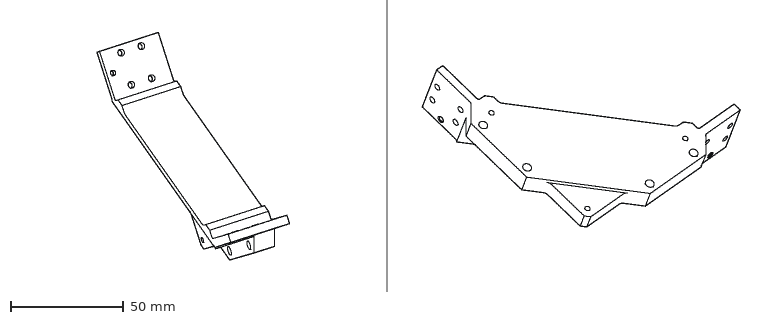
import cadquery as cq
import math

OVERALL_WIDTH = 138.59
OVERALL_HEIGHT = 70.71
DEPTH = 29.0
TOP_Z = 19.6
BOTTOM_Z = TOP_Z - OVERALL_HEIGHT

SHELF_HALF_WIDTH = 53.6
SHELF_THICKNESS = 3.3
RIDGE_HEIGHT = 2.8
RIDGE_INNER_X = 43.3
RIDGE_OUTER_X = 47.4
RIDGE_FILLET = 3.0

ARM_THICKNESS = 4.0
ARM_FILLET = 1.0
SLOPE_RUN = math.sqrt(0.5)

ARM_HOLE_DIAMETER = 3.0
ARM_HOLE_SPACING = 15.0
ARM_HOLE_ROWS_Y = (9.5, 19.5)
ARM_PATTERN_FROM_TIP = 11.0
ARM_PILOT_Y = 3.0
ARM_PILOT_COUNTERSINK_DIAMETER = 3.2

PLATE_THICKNESS = 10.0
PLATE_FRONT_Y = DEPTH - PLATE_THICKNESS
PLATE_SIDE_HEIGHT = 10.1
PLATE_HEIGHT = 35.5
LUG_THICKNESS = 8.0
LUG_TIP_HALF_WIDTH = 1.5
LUG_FILLET = 3.0

PLATE_HOLE_DIAMETER = 4.0
PLATE_HOLES = ((48.0, -10.1), (28.0, -30.1))
PILOT_DIAMETER = 2.4
PLATE_PILOT_X = 44.2
PLATE_PILOT_Z = -2.8
LUG_PILOT_Z = -46.8


def extruded(points, front_y, thickness):
    """Solid with an X-Z outline, running from front_y toward +Y."""
    workplane = cq.Workplane("XZ", origin=(0, front_y, 0))
    return workplane.polyline(points).close().extrude(-thickness)


def mirrored_outline(right_half):
    """Closed outline from its right half, listed from one end of the mirror line to the other."""
    left_half = [(-x, z) for x, z in reversed(right_half) if x > 0]
    return right_half + left_half


def fillet_at(solid, x, z, radius):
    """Round the two mirrored edges parallel to Y that pass through (+-x, z)."""
    reach = 0.05
    for side in (-1, 1):
        low = (side * x - reach, -DEPTH, z - reach)
        high = (side * x + reach, 2 * DEPTH, z + reach)
        solid = solid.edges(cq.selectors.BoxSelector(low, high, boundingbox=False)).fillet(radius)
    return solid


arm_drop = ARM_THICKNESS * SLOPE_RUN
tip_outer_x = OVERALL_WIDTH / 2
tip_inner_x = tip_outer_x - arm_drop
arm_root_z = TOP_Z - arm_drop - (tip_outer_x - SHELF_HALF_WIDTH)
ridge_z = SHELF_THICKNESS + RIDGE_HEIGHT
notch_x = (tip_inner_x + RIDGE_OUTER_X + ridge_z - TOP_Z) / 2
notch_z = ridge_z - (notch_x - RIDGE_OUTER_X)
ridge_foot_x = RIDGE_INNER_X - RIDGE_HEIGHT
plate_bottom_half_width = SHELF_HALF_WIDTH - (PLATE_HEIGHT - PLATE_SIDE_HEIGHT)
lug_root_half_width = LUG_TIP_HALF_WIDTH - PLATE_HEIGHT - BOTTOM_Z


def make_shelf():
    """Shelf, ridges and arms as one profile over the full depth."""
    right_half = [
        (0, 0),
        (SHELF_HALF_WIDTH, 0),
        (SHELF_HALF_WIDTH, arm_root_z),
        (tip_outer_x, TOP_Z - arm_drop),
        (tip_inner_x, TOP_Z),
        (notch_x, notch_z),
        (RIDGE_OUTER_X, ridge_z),
        (RIDGE_INNER_X, ridge_z),
        (ridge_foot_x, SHELF_THICKNESS),
        (0, SHELF_THICKNESS),
    ]
    shelf = extruded(mirrored_outline(right_half), 0, DEPTH)
    shelf = fillet_at(shelf, SHELF_HALF_WIDTH, arm_root_z, ARM_FILLET)
    shelf = fillet_at(shelf, notch_x, notch_z, ARM_FILLET)
    return fillet_at(shelf, ridge_foot_x, SHELF_THICKNESS, RIDGE_FILLET)


def make_plate():
    """Back plate with 45 degree lower corners, plus the lug that ends short of its back face."""
    plate_half = [
        (0, 0),
        (SHELF_HALF_WIDTH, 0),
        (SHELF_HALF_WIDTH, -PLATE_SIDE_HEIGHT),
        (plate_bottom_half_width, -PLATE_HEIGHT),
        (0, -PLATE_HEIGHT),
    ]
    lug_half = plate_half[:-1] + [
        (lug_root_half_width, -PLATE_HEIGHT),
        (LUG_TIP_HALF_WIDTH, BOTTOM_Z),
        (0, BOTTOM_Z),
    ]
    plate = extruded(mirrored_outline(plate_half), PLATE_FRONT_Y, PLATE_THICKNESS)
    front_layer = extruded(mirrored_outline(lug_half), PLATE_FRONT_Y, LUG_THICKNESS)
    front_layer = fillet_at(front_layer, lug_root_half_width, -PLATE_HEIGHT, LUG_FILLET)
    return plate.union(front_layer)


def plate_drill(x, z, diameter):
    """Cutter along Y through the back plate."""
    workplane = cq.Workplane("XZ", origin=(x, PLATE_FRONT_Y, z))
    return workplane.circle(diameter / 2).extrude(-PLATE_THICKNESS)


def arm_plane(side, from_tip, y):
    """Plane on an arm's upper face, facing into the arm, at a distance down the slope from its tip."""
    run = from_tip * SLOPE_RUN
    entry = (side * (tip_inner_x - run), y, TOP_Z - run)
    return cq.Plane(origin=entry, xDir=(0, 1, 0), normal=(side, 0, -1))


def arm_drill(side, from_tip, y, diameter):
    """Cutter square through an arm."""
    return cq.Workplane(arm_plane(side, from_tip, y)).circle(diameter / 2).extrude(ARM_THICKNESS)


def arm_pilot_drill(side):
    """Pilot cutter through an arm, with a 45 degree countersink in the arm's underside."""
    drill = arm_drill(side, ARM_PATTERN_FROM_TIP, ARM_PILOT_Y, PILOT_DIAMETER)
    countersink_depth = (ARM_PILOT_COUNTERSINK_DIAMETER - PILOT_DIAMETER) / 2
    plane = arm_plane(side, ARM_PATTERN_FROM_TIP, ARM_PILOT_Y)
    cone = cq.Solid.makeCone(
        PILOT_DIAMETER / 2,
        ARM_PILOT_COUNTERSINK_DIAMETER / 2,
        countersink_depth,
        plane.toWorldCoords((0, 0, ARM_THICKNESS - countersink_depth)),
        plane.zDir,
    )
    return drill.union(cq.Workplane(cone))


def drill_plate(body):
    body = body.cut(plate_drill(0, LUG_PILOT_Z, PILOT_DIAMETER))
    for side in (-1, 1):
        body = body.cut(plate_drill(side * PLATE_PILOT_X, PLATE_PILOT_Z, PILOT_DIAMETER))
        for x, z in PLATE_HOLES:
            body = body.cut(plate_drill(side * x, z, PLATE_HOLE_DIAMETER))
    return body


def drill_arms(body):
    for side in (-1, 1):
        body = body.cut(arm_pilot_drill(side))
        for offset in (-ARM_HOLE_SPACING / 2, ARM_HOLE_SPACING / 2):
            for y in ARM_HOLE_ROWS_Y:
                body = body.cut(arm_drill(side, ARM_PATTERN_FROM_TIP + offset, y, ARM_HOLE_DIAMETER))
    return body


result = drill_arms(drill_plate(make_shelf().union(make_plate())))